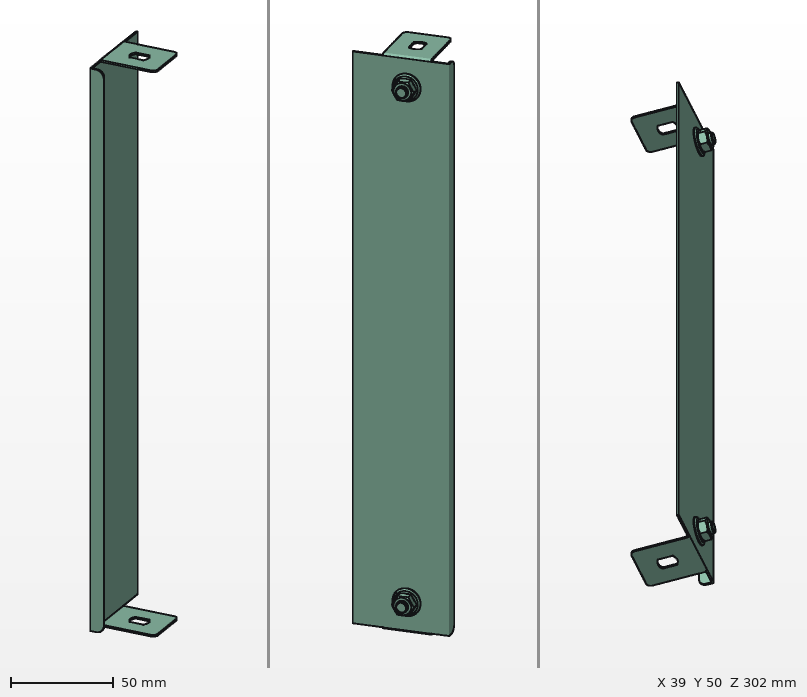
import cadquery as cq
import math

sheet = 1.0
flange_bend_radius = 0.6
tab_bend_radius = 1.5
panel_height = 300.0
panel_width = 50.0
flange_depth = 7.5
flange_corner_radius = 4.0
tab_overhang = 1.0
tab_leg = tab_overhang + 2 * tab_bend_radius
tab_reach = 31.0
tab_width = 25.0
tab_corner_radius = 2.5
slot_length = 10.0
slot_width = 6.6
slot_center_x = 16

axis_y = 22.0
axis_z = 135.0
stud_diameter = 6.0
stud_tip_diameter = 5.0
stud_reach = 8.0
nut_across_flats = 10.0
nut_corner_diameter = nut_across_flats / math.cos(math.pi / 6)
nut_chamfer_diameter = 9.0
nut_outer_reach = 6.2
washer_base_diameter = 14.5
washer_top_diameter = 12.4
washer_rim = 0.5
washer_thickness = 1.25
nut_chamfer_angle = 30.0


def bent_strip(leg, reach, width, bend_radius):
    """L-shaped strip along Y: one leg up +Z, one along +X, rounded outside at the bend on the origin."""
    return (
        cq.Workplane("XZ")
        .polyline([(0, 0), (reach, 0), (reach, sheet), (sheet, sheet), (sheet, leg), (0, leg)])
        .close()
        .extrude(-width)
        .edges("|Y and <X and <Z")
        .fillet(bend_radius)
    )


def flanged_plate():
    """Flat plate with a folded flange along its -Y side, rounded at both outer corners."""
    return (
        bent_strip(panel_width, flange_depth, panel_height, flange_bend_radius)
        .edges("|Z and >X")
        .fillet(flange_corner_radius)
        .rotate((0, 0, 0), (1, 0, 0), -90)
        .translate((0, 0, panel_height / 2))
    )


def bottom_tab():
    """Mounting tab folded from the bottom edge, with a short leg that merges into the plate.

    Its slot is a circle with two flats.
    """
    slot_center = (slot_center_x, tab_width / 2)
    slot_round = cq.Workplane("XY").center(*slot_center).circle(slot_length / 2).extrude(sheet)
    slot_flats = cq.Workplane("XY").center(*slot_center).rect(slot_length, slot_width).extrude(sheet)
    return (
        bent_strip(tab_leg, tab_reach, tab_width, tab_bend_radius)
        .edges("|Z and >X")
        .fillet(tab_corner_radius)
        .cut(slot_round.intersect(slot_flats))
        .translate((0, axis_y - tab_width / 2, -panel_height / 2 - tab_overhang))
    )


def make_panel():
    """Flanged plate with a mounting tab at each end."""
    tab = bottom_tab()
    return flanged_plate().union(tab).union(tab.mirror("XY"))


def make_stud(z):
    """Round stud standing on the panel's outer face, with a chamfered tip."""
    return (
        cq.Workplane("YZ", origin=(0, axis_y, z))
        .circle(stud_diameter / 2)
        .extrude(-stud_reach)
        .faces("<X")
        .chamfer((stud_diameter - stud_tip_diameter) / 2)
    )


def stud_hole(z):
    """Bore that the stud fills in the washer and the nut."""
    return cq.Workplane("YZ", origin=(0, axis_y, z)).circle(stud_diameter / 2).extrude(-stud_reach)


def make_washer(z):
    """Conical washer with a short straight rim, lying on the panel."""
    return (
        cq.Workplane("YZ", origin=(0, axis_y, z))
        .circle(washer_base_diameter / 2)
        .extrude(-washer_thickness)
        .faces("<X")
        .chamfer(washer_thickness - washer_rim, (washer_base_diameter - washer_top_diameter) / 2)
        .cut(stud_hole(z))
    )


def make_nut(z):
    """Hexagon nut seated on the washer, corners on Y, with both ends chamfered."""
    seat = cq.Workplane("YZ", origin=(-washer_thickness, axis_y, z))
    height = nut_outer_reach - washer_thickness
    chamfer_width = (nut_corner_diameter - nut_chamfer_diameter) / 2
    chamfer_height = chamfer_width * math.tan(math.radians(nut_chamfer_angle))
    chamfered_round = (
        seat.circle(nut_corner_diameter / 2)
        .extrude(-height)
        .faces("<X or >X")
        .chamfer(chamfer_height, chamfer_width)
    )
    return seat.polygon(6, nut_corner_diameter).extrude(-height).intersect(chamfered_round).cut(stud_hole(z))


panel = make_panel()
fasteners = []
for z in (axis_z, -axis_z):
    fasteners += [make_stud(z).val(), make_washer(z).val(), make_nut(z).val()]

result = cq.Compound.makeCompound([panel.val(), *fasteners])